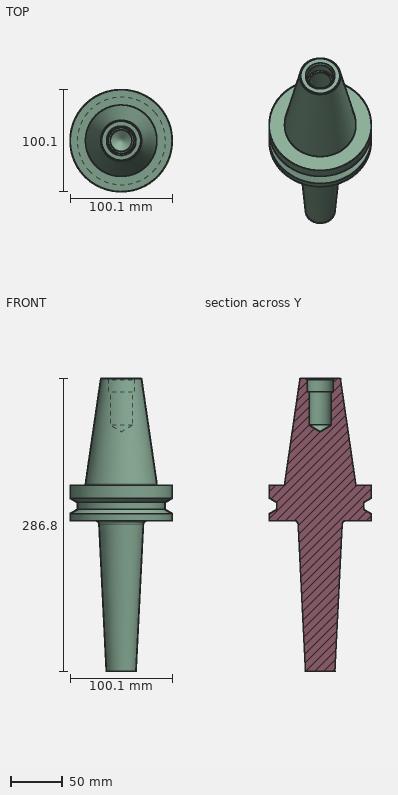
import cadquery as cq
import math

total_length = 286.8

shank_length = 103.2
shank_radius = 35.0
taper_ratio = 7 / 24
shank_tip_radius = shank_radius - shank_length * taper_ratio / 2
shank_tip_chamfer = 1.0
collar_length = 1.5

flange_radius = 50.05
flange_length = 35.0
upper_rim_length = 13.0
groove_floor_radius = 43.0
groove_floor_length = 7.0
groove_wall_angle = 30.0
groove_wall_length = (flange_radius - groove_floor_radius) * math.tan(math.radians(groove_wall_angle))

nose_tip_radius = 14.5
nose_root_radius = 21.8
nose_fillet = 3.5

mouth_radius = 14.3
counterbore_radius = 12.5
mouth_chamfer = mouth_radius - counterbore_radius
counterbore_depth = 13.2
bore_radius = 10.5
bore_depth = 46.0
drill_tip_angle = 118.0
drill_tip_length = bore_radius / math.tan(math.radians(drill_tip_angle / 2))

gauge_z = total_length - shank_length
flange_top_z = gauge_z - collar_length
flange_bottom_z = flange_top_z - flange_length
groove_top_z = flange_top_z - upper_rim_length
floor_top_z = groove_top_z - groove_wall_length
floor_bottom_z = floor_top_z - groove_floor_length
groove_bottom_z = floor_bottom_z - groove_wall_length


def revolve_profile(points):
    """Turn a closed (radius, height) outline about the Z axis."""
    return cq.Workplane("XZ").polyline(points).close().revolve(360, (0, 0, 0), (0, 1, 0))


def make_shank():
    chamfer_z = total_length - shank_tip_chamfer
    chamfer_radius = shank_tip_radius + shank_tip_chamfer * taper_ratio / 2
    return revolve_profile([
        (0, flange_top_z),
        (shank_radius, flange_top_z),
        (shank_radius, gauge_z),
        (chamfer_radius, chamfer_z),
        (shank_tip_radius - shank_tip_chamfer, total_length),
        (0, total_length),
    ])


def make_flange():
    return revolve_profile([
        (0, flange_bottom_z),
        (flange_radius, flange_bottom_z),
        (flange_radius, groove_bottom_z),
        (groove_floor_radius, floor_bottom_z),
        (groove_floor_radius, floor_top_z),
        (flange_radius, groove_top_z),
        (flange_radius, flange_top_z),
        (0, flange_top_z),
    ])


def make_nose():
    """Cone whose root flares into the flange with a concave quarter round."""
    fillet_start_z = flange_bottom_z - nose_fillet
    fillet_radius_position = nose_root_radius + nose_fillet
    arc_offset = nose_fillet * math.sqrt(0.5)
    return (
        cq.Workplane("XZ")
        .lineTo(nose_tip_radius, 0)
        .lineTo(nose_root_radius, fillet_start_z)
        .threePointArc(
            (fillet_radius_position - arc_offset, fillet_start_z + arc_offset),
            (fillet_radius_position, flange_bottom_z),
        )
        .lineTo(0, flange_bottom_z)
        .close()
        .revolve(360, (0, 0, 0), (0, 1, 0))
    )


def make_bore():
    counterbore_z = total_length - counterbore_depth
    bore_bottom_z = total_length - bore_depth
    return revolve_profile([
        (0, total_length),
        (mouth_radius, total_length),
        (counterbore_radius, total_length - mouth_chamfer),
        (counterbore_radius, counterbore_z),
        (bore_radius, counterbore_z),
        (bore_radius, bore_bottom_z),
        (0, bore_bottom_z - drill_tip_length),
    ])


result = make_nose().union(make_flange()).union(make_shank()).cut(make_bore())